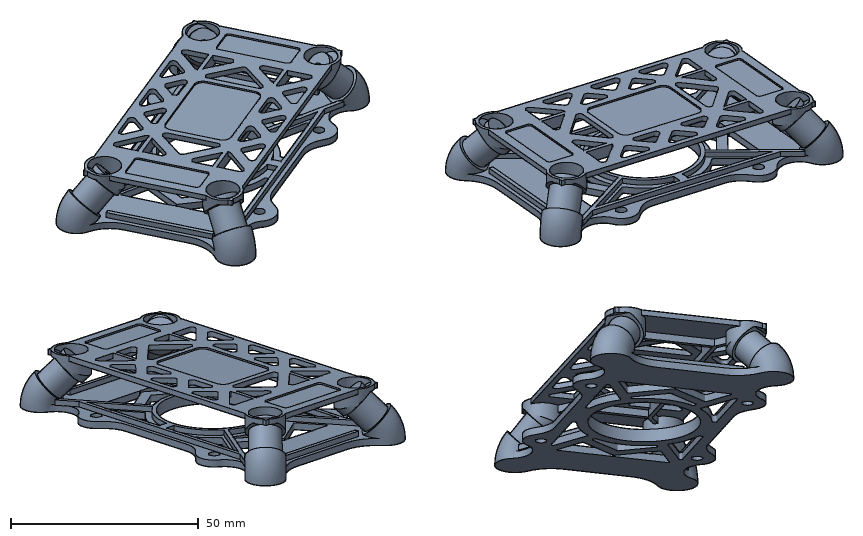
import cadquery as cq
import math

overall_x = 56.3
overall_y = 95.0
overall_z = 16.0
rib_width = 1.2
bar_width = 3.0
window_fillet = 1.0
base_window_fillet = 0.5
end_window_fillet = 0.4

tilt = 45.0
elbow_diameter = 11.0
elbow_bend_radius = 8.0
socket_diameter = 10.8
damper_diameter = 9.0
neck_diameter = 6.0
damper_bore = 2.6
collar_thickness = 0.7
collar_drop = 0.9
head_top = 1.8
head_thickness = 1.5
joint_step = 5.75

elbow_radius = elbow_diameter / 2
socket_radius = socket_diameter / 2
elbow_x = overall_x / 2 - elbow_radius
elbow_y = overall_y / 2 - elbow_radius
socket_x = elbow_x - joint_step
socket_y = elbow_y - joint_step

tilt_sin = math.sin(math.radians(tilt))
tilt_cos = math.cos(math.radians(tilt))
reach = joint_step * math.sqrt(2)
elbow_end_x = reach - elbow_bend_radius * (1 - tilt_cos)
elbow_end_z = elbow_bend_radius * tilt_sin
bend_z = elbow_end_z + elbow_end_x * tilt_cos / tilt_sin
collar_floor = collar_thickness - collar_drop
leg_bottom = -elbow_end_x / tilt_sin

top_width = 42.4
top_length = 81.3
top_thickness = 1.5
top_plate_bottom = overall_z - top_thickness
top_rib_bottom = overall_z - 3.5
recess_depth = 0.5
center_recess = (18.8, 26.2)
center_recess_fillet = 2.5
end_recess = (21.3, 8.4)
end_recess_y = 33.6
end_recess_fillet = 1.0
lattice_x = 11.5
lattice_pitch = 7.7
side_window_x = 19.6
inner_window_x = 11.5
end_window_top = 26.1
middle_window_bottom = 14.9
apex_node_y = 26.0
frame_x = 10.6
frame_y = 28.4

base_half_x = 21.5
base_half_y = 40.8
base_thickness = 2.0
base_rib_top = 3.5
ring_inner_diameter = 30.0
ring_outer_diameter = 36.1
rim_inset = 1.2
rim_end_x = 15.2
side_window_edge = 18.3
side_window_start = 5.7
end_window_edge = 27.5
cross_rib_width = 2.8
ear_x = 21.8
ear_y = 22.0
ear_radius = 4.9
ear_hole = 3.0
front_sweep = 11.0
neck_sweep = 6.0
ear_sweep = 8.0
rim_corner_x = 19.7
rim_corner_y = 30.4
diagonal_slope = rim_corner_y / rim_corner_x
diagonal_end_x = 23.3
cross_bar_apex = 24.9

QUADRANTS = [(1, 1), (-1, 1), (-1, -1), (1, -1)]


def at_corner(body, sx, sy):
    """Turn a body drawn along +X to point outward on one diagonal, at that corner's socket."""
    angle = math.degrees(math.atan2(sy, sx))
    turned = body.rotate((0, 0, 0), (0, 0, 1), angle)
    return turned.translate((sx * socket_x, sy * socket_y, 0))


def mirrored(body, sx, sy):
    """Copy of a first-quadrant body in the quadrant with the given signs."""
    if sx < 0:
        body = body.mirror("YZ")
    if sy < 0:
        body = body.mirror("XZ")
    return body


def leg_cylinder(diameter, start, end):
    """Cylinder on the tilted leg axis; distances run up from the socket's bend."""
    origin = (-start * tilt_sin, 0, bend_z + start * tilt_cos)
    plane = cq.Plane(origin=origin, xDir=(0, 1, 0), normal=(-tilt_sin, 0, tilt_cos))
    return cq.Workplane(plane).circle(diameter / 2).extrude(end - start)


def half_space(angle, x, z):
    """Large block above a plane through (x, z) whose normal leans inward by the angle."""
    lean = math.radians(angle)
    plane = cq.Plane(origin=(x, 0, z), xDir=(0, 1, 0), normal=(-math.sin(lean), 0, math.cos(lean)))
    return cq.Workplane(plane).rect(overall_x, overall_x).extrude(overall_x)


def bent_rod(diameter, end):
    """Vertical rod from the top, mitred into the leg axis and cut square to that axis."""
    upright = cq.Workplane("XY").circle(diameter / 2).extrude(overall_z)
    leaning = leg_cylinder(diameter, end - diameter, diameter)
    mitre = half_space(tilt / 2, 0, bend_z)
    rod = upright.intersect(mitre).union(leaning.cut(mitre))
    return rod.intersect(half_space(tilt, -end * tilt_sin, bend_z + end * tilt_cos))


def bar(start, end, width, bottom, top):
    """Straight bar of rectangular section between two plan points."""
    length = math.dist(start, end)
    angle = math.degrees(math.atan2(end[1] - start[1], end[0] - start[0]))
    body = cq.Workplane("XY").box(length, width, top - bottom, centered=(False, True, False))
    return body.rotate((0, 0, 0), (0, 0, 1), angle).translate((start[0], start[1], bottom))


def prism(points, bottom, top):
    """Upright prism on a plan polygon."""
    return cq.Workplane("XY").workplane(offset=bottom).polyline(points).close().extrude(top - bottom)


def top_windows():
    """Triangular windows of one quadrant, cut between bars laid on the lattice nodes."""
    offset = bar_width / 2 * math.sqrt(2)
    outer_tip = lattice_x + offset
    inner_tip = lattice_x + lattice_pitch - offset
    side_half = side_window_x - outer_tip
    inner_half = inner_tip - inner_window_x

    slope = (apex_node_y - 2 * lattice_pitch) / lattice_x
    rise = bar_width / 2 * math.hypot(1, slope)
    corner_rise = 2 * lattice_pitch - lattice_x + offset
    valley_x = (apex_node_y + rise - corner_rise) / (1 + slope)
    middle_x = (apex_node_y - rise - middle_window_bottom) / slope

    outlines = []
    for y in (0, 2 * lattice_pitch):
        outlines.append([(outer_tip, y), (side_window_x, y + side_half), (side_window_x, y - side_half)])
    y = lattice_pitch
    outlines.append([(inner_tip, y), (inner_window_x, y + inner_half), (inner_window_x, y - inner_half)])
    outlines.append(
        [
            (end_window_top - corner_rise, end_window_top),
            ((apex_node_y + rise - end_window_top) / slope, end_window_top),
            (valley_x, valley_x + corner_rise),
        ]
    )
    outlines.append(
        [
            (0, apex_node_y - rise),
            (middle_x, middle_window_bottom),
            (-middle_x, middle_window_bottom),
        ]
    )
    cutters = cq.Workplane("XY")
    for points in outlines:
        window = prism(points, top_plate_bottom, overall_z)
        cutters = cutters.add(window.edges("|Z").fillet(window_fillet))
    return cutters.combine()


def top_rib(start, end):
    return bar(start, end, rib_width, top_rib_bottom, overall_z)


def top_ribs():
    """Rectangular frame under the plate with a rib from each corner to its socket."""
    frame_end = frame_y + rib_width / 2
    ribs = cq.Workplane("XY")
    for side in (1, -1):
        ribs = ribs.add(top_rib((side * frame_x, -frame_end), (side * frame_x, frame_end)))
        ribs = ribs.add(top_rib((-frame_x, side * frame_y), (frame_x, side * frame_y)))
    for sx, sy in QUADRANTS:
        ribs = ribs.add(top_rib((sx * frame_x, sy * frame_y), (sx * socket_x, sy * socket_y)))
    return ribs.combine()


def recess(size, fillet, y):
    """Shallow rounded pocket in the top face."""
    floor = overall_z - recess_depth
    body = cq.Workplane("XY").workplane(offset=floor).center(0, y).rect(*size).extrude(recess_depth)
    return body.edges("|Z").fillet(fillet)


def make_socket():
    """Bent boss with a full round rim at the height of the plate."""
    rim = cq.Workplane("XY").workplane(offset=top_plate_bottom).circle(socket_radius).extrude(top_thickness)
    return bent_rod(socket_diameter, -collar_drop).union(rim)


def make_socket_cavity():
    """Bent bore down to the collar, room for the damper's head, and the collar's hole."""
    cavity = bent_rod(damper_diameter, collar_floor)
    cavity = cavity.union(leg_cylinder(damper_diameter, collar_floor, head_top))
    return cavity.union(leg_cylinder(neck_diameter, -collar_drop, collar_floor))


def make_top_plate():
    blank = cq.Workplane("XY").workplane(offset=top_plate_bottom)
    plate = blank.rect(top_width, top_length).extrude(top_thickness)
    windows = top_windows()
    for sx, sy in QUADRANTS:
        plate = plate.cut(mirrored(windows, sx, sy))
    plate = plate.union(top_ribs())
    socket = make_socket()
    cavity = make_socket_cavity()
    for sx, sy in QUADRANTS:
        plate = plate.union(at_corner(socket, sx, sy))
    for sx, sy in QUADRANTS:
        plate = plate.cut(at_corner(cavity, sx, sy))
    plate = plate.cut(recess(center_recess, center_recess_fillet, 0))
    for side in (1, -1):
        plate = plate.cut(recess(end_recess, end_recess_fillet, side * end_recess_y))
    return plate


def toward(center, radius, target):
    """Point on a circle in the direction of a target point."""
    distance = math.dist(center, target)
    return tuple(c + radius * (t - c) / distance for c, t in zip(center, target))


def arc_middle(center, radius, start, end):
    """Middle point of the shorter arc between two points of a circle."""
    return toward(center, radius, ((start[0] + end[0]) / 2, (start[1] + end[1]) / 2))


def base_quadrant():
    """One quarter of the base: edges, elbow foot and ear, joined by tangent concave sweeps."""
    elbow = (elbow_x, elbow_y)
    ear = (ear_x, ear_y)
    diagonal = math.sqrt(0.5)

    front_y = base_half_y + front_sweep
    front_gap = math.sqrt((front_sweep + elbow_radius) ** 2 - (front_y - elbow_y) ** 2)
    front = (elbow_x - front_gap, front_y)
    front_start = (front[0], base_half_y)
    front_end = toward(elbow, elbow_radius, front)

    neck_x = base_half_x + neck_sweep
    elbow_gap = math.sqrt((neck_sweep + elbow_radius) ** 2 - (neck_x - elbow_x) ** 2)
    elbow_neck = (neck_x, elbow_y - elbow_gap)
    elbow_end = toward(elbow, elbow_radius, elbow_neck)
    neck_start = (base_half_x, elbow_neck[1])

    ear_gap = math.sqrt((neck_sweep + ear_radius) ** 2 - (neck_x - ear_x) ** 2)
    ear_neck = (neck_x, ear_y + ear_gap)
    neck_end = (base_half_x, ear_neck[1])
    ear_start = toward(ear, ear_radius, ear_neck)

    ear_end = (ear_x + ear_radius * diagonal, ear_y - ear_radius * diagonal)
    low_x = base_half_x + ear_sweep * (1 - diagonal)
    low_start = (low_x, ear_end[1] - (ear_end[0] - low_x))
    low = (base_half_x + ear_sweep, low_start[1] - ear_sweep * diagonal)
    low_end = (base_half_x, low[1])

    return (
        cq.Workplane("XY")
        .lineTo(0, base_half_y)
        .lineTo(*front_start)
        .threePointArc(arc_middle(front, front_sweep, front_start, front_end), front_end)
        .lineTo(*elbow)
        .lineTo(*elbow_end)
        .threePointArc(arc_middle(elbow_neck, neck_sweep, elbow_end, neck_start), neck_start)
        .lineTo(*neck_end)
        .threePointArc(arc_middle(ear_neck, neck_sweep, neck_end, ear_start), ear_start)
        .threePointArc((ear_x + ear_radius, ear_y), ear_end)
        .lineTo(*low_start)
        .threePointArc(arc_middle(low, ear_sweep, low_start, low_end), low_end)
        .lineTo(base_half_x, 0)
        .close()
        .extrude(base_thickness)
    )


def base_windows():
    """Windows of one quadrant between the ring, the diagonal bars and the cross bars."""
    ring = cq.Workplane("XY").circle(ring_outer_diameter / 2).extrude(base_thickness)
    half_rise = bar_width / 2 * math.hypot(1, diagonal_slope)
    cross_rise = bar_width / 2 * math.hypot(1, 1 / diagonal_slope)
    meet = diagonal_slope + 1 / diagonal_slope

    side_points = [
        (0, -half_rise),
        (side_window_edge, side_window_edge * diagonal_slope - half_rise),
        (side_window_edge, side_window_start),
        (0, side_window_start),
    ]
    side = prism(side_points, 0, base_thickness).cut(ring)
    side = side.edges("|Z").fillet(base_window_fillet)

    outer_meet = (cross_bar_apex + cross_rise - half_rise) / meet
    end_points = [
        (outer_meet, outer_meet * diagonal_slope + half_rise),
        ((end_window_edge - half_rise) / diagonal_slope, end_window_edge),
        (0, end_window_edge),
        (0, cross_bar_apex + cross_rise),
    ]
    end = prism(end_points, 0, base_thickness).edges("|Z").fillet(end_window_fillet)

    inner_meet = (cross_bar_apex - cross_rise - half_rise) / meet
    inner_y = inner_meet * diagonal_slope + half_rise
    middle_points = [
        (0, cross_bar_apex - cross_rise),
        (inner_meet, inner_y),
        (0, 0),
        (-inner_meet, inner_y),
    ]
    middle = prism(middle_points, 0, base_thickness).cut(ring)
    middle = middle.edges("|Z").fillet(base_window_fillet)
    return side.add(end).add(middle).combine()


def base_rib(start, end, width=rib_width):
    return bar(start, end, width, base_thickness, base_rib_top)


def base_ribs():
    """Raised rim, diagonal ribs, ring rib and the short ribs joining ring and rim."""
    rim_x = base_half_x - rim_inset - rib_width / 2
    rim_y = base_half_y - rim_inset - rib_width / 2
    ring_rib_radius = ring_inner_diameter / 2 + rib_width
    ring_plane = cq.Workplane("XY").workplane(offset=base_thickness)
    ribs = ring_plane.circle(ring_rib_radius).extrude(base_rib_top - base_thickness)
    for side in (1, -1):
        ribs = ribs.union(base_rib((side * rim_x, -rim_corner_y), (side * rim_x, rim_corner_y)))
        ribs = ribs.union(base_rib((-rim_end_x, side * rim_y), (rim_end_x, side * rim_y)))
    ribs = ribs.union(base_rib((-rim_x, 0), (rim_x, 0), cross_rib_width))
    for sx, sy in QUADRANTS:
        end = (sx * diagonal_end_x, sy * diagonal_end_x * diagonal_slope)
        ribs = ribs.union(base_rib((0, 0), end))
    return ribs


def make_elbow():
    """Curved foot: a disc on the ground turned about a horizontal axis to the leg angle."""
    foot = cq.Workplane("XY").center(reach, 0).circle(elbow_radius)
    return foot.revolve(tilt, (-elbow_bend_radius, 0.95, 0), (-elbow_bend_radius, -0.95, 0))


def make_base_plate():
    quadrant = base_quadrant()
    windows = base_windows()
    base = quadrant
    for sx, sy in QUADRANTS[1:]:
        base = base.union(mirrored(quadrant, sx, sy))
    for sx, sy in QUADRANTS:
        base = base.cut(mirrored(windows, sx, sy))
    base = base.union(base_ribs())
    base = base.cut(cq.Workplane("XY").circle(ring_inner_diameter / 2).extrude(base_rib_top))
    ears = [(sx * ear_x, sy * ear_y) for sx, sy in QUADRANTS]
    base = base.cut(cq.Workplane("XY").pushPoints(ears).circle(ear_hole / 2).extrude(base_thickness))
    elbow = make_elbow()
    for sx, sy in QUADRANTS:
        base = base.union(at_corner(elbow, sx, sy))
    return base


def make_damper():
    """Leg with a neck through the collar, a retaining head and a bore right through."""
    body = leg_cylinder(damper_diameter, leg_bottom, -collar_drop)
    body = body.union(leg_cylinder(neck_diameter, -collar_drop, head_top))
    body = body.union(leg_cylinder(damper_diameter, head_top - head_thickness, head_top))
    return body.cut(leg_cylinder(damper_bore, leg_bottom, head_top))


top_plate = make_top_plate()
base_plate = make_base_plate()
damper = make_damper()
dampers = [at_corner(damper, sx, sy) for sx, sy in QUADRANTS]

result = cq.Compound.makeCompound(
    [top_plate.val(), base_plate.val(), *[body.val() for body in dampers]]
)